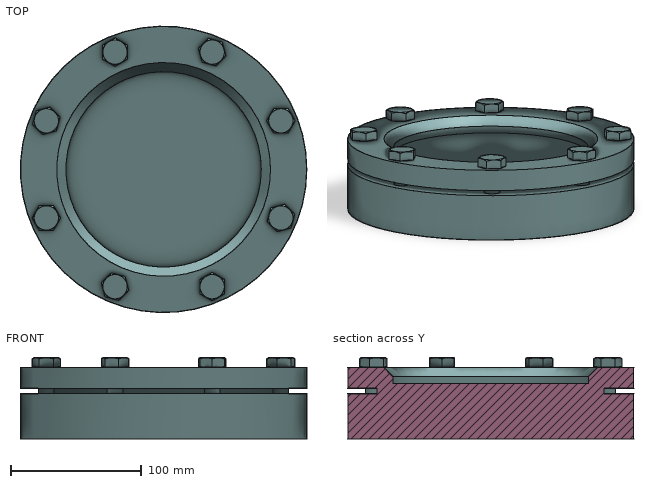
import cadquery as cq
import math

outer_diameter = 220.0
base_height = 35.0
gap_height = 4.0
flange_thickness = 16.0
gasket_diameter = 175.0

flange_bottom = base_height + gap_height
flange_top = flange_bottom + flange_thickness

bore_diameter = 150.0
rim_diameter = 164.1
recess_depth = 12.3
cone_depth = (rim_diameter - bore_diameter) / 2

bolt_count = 8
bolt_circle_radius = 97.5
shank_diameter = 12.0
head_height = 7.5
washer_face_diameter = 17.2
washer_face_height = 0.5
head_across_flats = 19.0
head_face_diameter = 18.7
head_chamfer_angle = 30.0
bolt_spacing = 360.0 / bolt_count
first_bolt_angle = bolt_spacing / 2
head_twist = -22.5


def disc(diameter, height, bottom):
    """Upright cylinder on the main axis."""
    return cq.Workplane("XY").workplane(offset=bottom).circle(diameter / 2).extrude(height)


def flange_recess():
    """Revolved volume of the coned rim and the straight bore below it."""
    floor = flange_top - recess_depth
    return (
        cq.Workplane("XZ")
        .moveTo(0, floor)
        .lineTo(bore_diameter / 2, floor)
        .lineTo(bore_diameter / 2, flange_top - cone_depth)
        .lineTo(rim_diameter / 2, flange_top)
        .lineTo(0, flange_top)
        .close()
        .revolve(360, (0, 0), (0, 1))
    )


def bolt_head():
    """Hexagon head on a thin washer face, its top corners turned off by a shallow cone."""
    corner_radius = head_across_flats / math.sqrt(3)
    face_radius = head_face_diameter / 2
    chamfer_drop = (corner_radius - face_radius) * math.tan(math.radians(head_chamfer_angle))
    hexagon = (
        cq.Workplane("XY")
        .workplane(offset=washer_face_height)
        .polygon(6, 2 * corner_radius)
        .extrude(head_height - washer_face_height)
    )
    turned_envelope = (
        cq.Workplane("XZ")
        .lineTo(corner_radius, 0)
        .lineTo(corner_radius, head_height - chamfer_drop)
        .lineTo(face_radius, head_height)
        .lineTo(0, head_height)
        .close()
        .revolve(360, (0, 0), (0, 1))
    )
    washer_face = disc(washer_face_diameter, washer_face_height, 0)
    return hexagon.intersect(turned_envelope).union(washer_face)


def bolt():
    """Head resting on the flange and shank crossing the gap, as a pair on the +X side."""
    head = (
        bolt_head()
        .rotate((0, 0, 0), (0, 0, 1), head_twist)
        .translate((bolt_circle_radius, 0, flange_top))
    )
    shank = (
        disc(shank_diameter, gap_height, base_height)
        .translate((bolt_circle_radius, 0, 0))
    )
    return head, shank


base = disc(outer_diameter, base_height, 0)
gasket = disc(gasket_diameter, gap_height, base_height)
flange = disc(outer_diameter, flange_thickness, flange_bottom).cut(flange_recess())

result = base.union(gasket).union(flange)

for index in range(bolt_count):
    angle = first_bolt_angle + index * bolt_spacing
    for piece in bolt():
        result = result.union(piece.rotate((0, 0, 0), (0, 0, 1), angle))